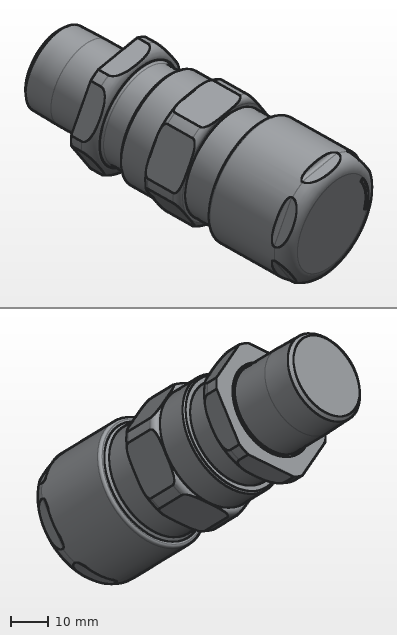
import cadquery as cq
import math


HEX_ACROSS_FLATS = 36.0
HEX_CORNER_RATIO = 1.1
HEX_CORNER_DIAMETER = HEX_CORNER_RATIO * HEX_ACROSS_FLATS

SPIGOT_TAPER_END = 10.1
SPIGOT_END = 22.2
FLANGE_START = 22.5
FLANGE_END = 29.7
COUPLING_START = 37.9
COUPLING_HEX_START = 47.6
COUPLING_END = 60.2
FLARE_START = 69.3
BACK_NUT_START = 70.1
BACK_NUT_END = 98.1
OVERALL_LENGTH = 98.4

SPIGOT_DIAMETER = 26.7
SPIGOT_TIP_DIAMETER = 26.2
SPIGOT_CHAMFER = 1.1
SPIGOT_COLLAR_DIAMETER = 27.9
FLANGE_ROUND = 3.5
NECK_DIAMETER = 31.2
NECK_COVE = 0.8

SKIRT_DIAMETER = 35.6
SKIRT_CHAMFER = 0.6
COUPLING_HEX_ROUND = 1.9

REAR_BODY_DIAMETER = 33.7
FLARE_DIAMETER = 35.6

BACK_NUT_DIAMETER = 39.0
BACK_NUT_FRONT_ROUND = 0.9
BACK_NUT_END_ROUND = 4.4
FLAT_START = 92.2
FLAT_COVE = 1.3

PAD_INNER_RADIUS = 13.8
PAD_OUTER_RADIUS = 14.8
PAD_START_ANGLE = -17.0
PAD_END_ANGLE = 32.0

HEX_SIDES = 6


def cylinder(start, end, diameter):
    """Round bar along X between two stations."""
    return cq.Workplane("YZ", origin=(start, 0, 0)).circle(diameter / 2).extrude(end - start)


def cone(start, end, start_diameter, end_diameter):
    """Truncated cone along X between two stations."""
    outline = [(start, 0), (start, start_diameter / 2), (end, end_diameter / 2), (end, 0)]
    return cq.Workplane("XY").polyline(outline).close().revolve(360, (0, 0, 0), (1, 0, 0))


def hexagon(start, end):
    """Hexagonal bar along X with corners toward +Y and -Y."""
    corner_to_corner = HEX_ACROSS_FLATS / math.cos(math.pi / HEX_SIDES)
    profile = cq.Workplane("YZ", origin=(start, 0, 0)).polygon(HEX_SIDES, corner_to_corner)
    return profile.extrude(end - start)


def make_entry():
    taper = cone(0, SPIGOT_TAPER_END, SPIGOT_TIP_DIAMETER, SPIGOT_DIAMETER)
    taper = taper.faces("<X").chamfer(SPIGOT_CHAMFER)
    spigot = cylinder(SPIGOT_TAPER_END, SPIGOT_END, SPIGOT_DIAMETER)
    collar = cylinder(SPIGOT_END, FLANGE_START, SPIGOT_COLLAR_DIAMETER)
    blank = cylinder(FLANGE_START, FLANGE_END, HEX_CORNER_DIAMETER)
    rounded_blank = blank.faces(">X").edges().fillet(FLANGE_ROUND)
    flange = hexagon(FLANGE_START, FLANGE_END).intersect(rounded_blank)
    neck_radius = NECK_DIAMETER / 2
    cove_end = FLANGE_END + NECK_COVE
    cove_bulge = NECK_COVE * (1 - math.sqrt(0.5))
    neck = (
        cq.Workplane("XY")
        .moveTo(FLANGE_END, 0)
        .lineTo(FLANGE_END, neck_radius + NECK_COVE)
        .threePointArc((FLANGE_END + cove_bulge, neck_radius + cove_bulge), (cove_end, neck_radius))
        .lineTo(COUPLING_START, neck_radius)
        .lineTo(COUPLING_START, 0)
        .close()
        .revolve(360, (0, 0, 0), (1, 0, 0))
    )
    return taper.union(spigot).union(collar).union(flange).union(neck)


def make_coupling_nut():
    skirt = cylinder(COUPLING_START, COUPLING_HEX_START, SKIRT_DIAMETER)
    skirt = skirt.faces("<X").chamfer(SKIRT_CHAMFER)
    blank = cylinder(COUPLING_HEX_START, COUPLING_END, HEX_CORNER_DIAMETER)
    rounded_blank = blank.faces("<X or >X").edges().fillet(COUPLING_HEX_ROUND)
    return skirt.union(hexagon(COUPLING_HEX_START, COUPLING_END).intersect(rounded_blank))


def make_rear_body():
    barrel = cylinder(COUPLING_END, FLARE_START, REAR_BODY_DIAMETER)
    return barrel.union(cone(FLARE_START, BACK_NUT_START, REAR_BODY_DIAMETER, FLARE_DIAMETER))


def make_flat_cutter():
    """Block that cuts the top flat, with a concave quarter round where the flat starts."""
    flat_height = HEX_ACROSS_FLATS / 2
    top = flat_height + 2 * FLAT_COVE
    cove_center_x = FLAT_START + FLAT_COVE
    cove_center_z = flat_height + FLAT_COVE
    diagonal = FLAT_COVE * math.sqrt(0.5)
    return (
        cq.Workplane("XZ")
        .moveTo(FLAT_START, top)
        .lineTo(FLAT_START, cove_center_z)
        .threePointArc(
            (cove_center_x - diagonal, cove_center_z - diagonal), (cove_center_x, flat_height)
        )
        .lineTo(OVERALL_LENGTH, flat_height)
        .lineTo(OVERALL_LENGTH, top)
        .close()
        .extrude(BACK_NUT_DIAMETER / 2, both=True)
    )


def make_end_pad():
    def on_arc(radius, angle):
        return radius * math.cos(math.radians(angle)), radius * math.sin(math.radians(angle))

    middle_angle = (PAD_START_ANGLE + PAD_END_ANGLE) / 2
    return (
        cq.Workplane("YZ", origin=(BACK_NUT_END, 0, 0))
        .moveTo(*on_arc(PAD_OUTER_RADIUS, PAD_START_ANGLE))
        .threePointArc(
            on_arc(PAD_OUTER_RADIUS, middle_angle), on_arc(PAD_OUTER_RADIUS, PAD_END_ANGLE)
        )
        .lineTo(*on_arc(PAD_INNER_RADIUS, PAD_END_ANGLE))
        .threePointArc(
            on_arc(PAD_INNER_RADIUS, middle_angle), on_arc(PAD_INNER_RADIUS, PAD_START_ANGLE)
        )
        .close()
        .extrude(OVERALL_LENGTH - BACK_NUT_END)
    )


def make_back_nut():
    nut = cylinder(BACK_NUT_START, BACK_NUT_END, BACK_NUT_DIAMETER)
    nut = nut.faces("<X").edges().fillet(BACK_NUT_FRONT_ROUND)
    nut = nut.faces(">X").edges().fillet(BACK_NUT_END_ROUND)
    cutter = make_flat_cutter()
    for side in range(HEX_SIDES):
        turn = side * 360 / HEX_SIDES
        nut = nut.cut(cutter.rotate((0, 0, 0), (1, 0, 0), turn))
    return nut.union(make_end_pad())


entry = make_entry()
coupling_nut = make_coupling_nut()
rear_body = make_rear_body()
back_nut = make_back_nut()

result = cq.Compound.makeCompound(
    [entry.val(), coupling_nut.val(), rear_body.val(), back_nut.val()]
)